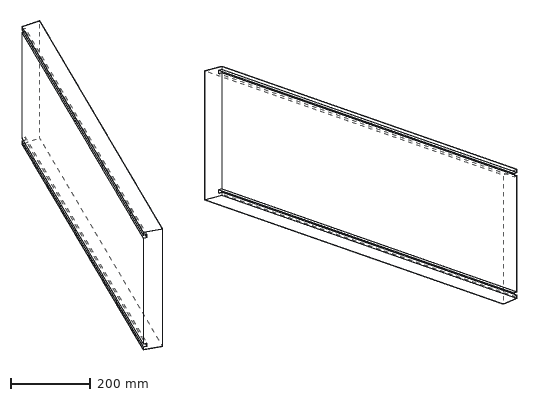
import cadquery as cq
import math

span_x = 980.0
height = 353.0
thickness = 51.0
slope_angle = 14.0
groove_depth = 10.0
groove_width = 9.0
edge_lip = 9.0

slope = math.radians(slope_angle)
end_cut_x = thickness * math.sin(slope)
end_cut_y = thickness * math.cos(slope)
left_end_y = thickness / math.cos(slope)
back_drop = span_x * math.tan(slope)


def sloped_panel():
    """Panel with its left end along Y and its right end square to the faces."""
    back_left = (0, 0)
    back_right = (span_x, -back_drop)
    front_right = (span_x - end_cut_x, -back_drop - end_cut_y)
    front_left = (0, -left_end_y)
    outline = [back_left, back_right, front_right, front_left]
    return cq.Workplane("XY").polyline(outline).close().extrude(height)


def groove_cutter(bottom_z):
    """Bar following the front face, running out through both ends."""
    depth_y = groove_depth / math.cos(slope)
    return (
        cq.Workplane("XY", origin=(0, 0, bottom_z))
        .moveTo(0, -left_end_y)
        .lineTo(span_x, -left_end_y - back_drop)
        .lineTo(span_x, -left_end_y - back_drop + depth_y)
        .lineTo(0, -left_end_y + depth_y)
        .close()
        .extrude(groove_width)
    )


result = sloped_panel()
for groove_bottom in (edge_lip, height - edge_lip - groove_width):
    result = result.cut(groove_cutter(groove_bottom))